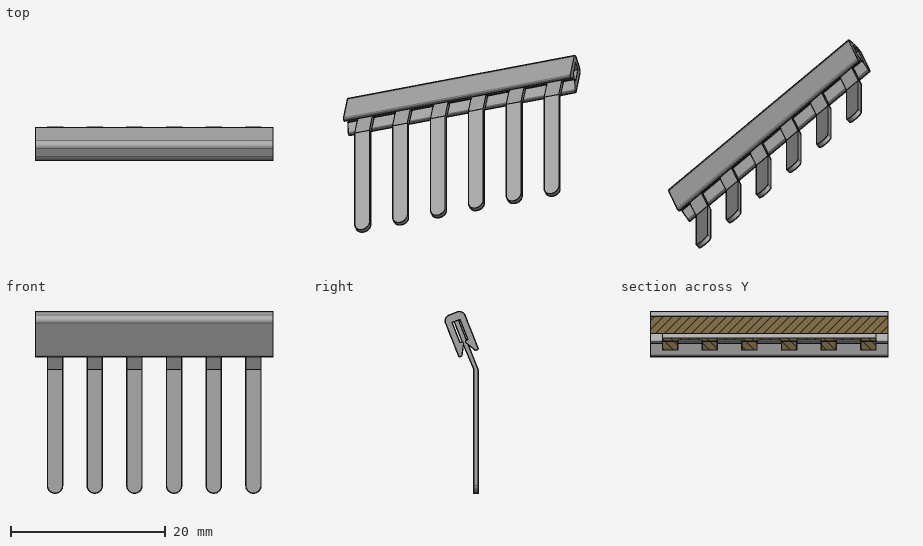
import cadquery as cq
import math

rail_length = 30.7
rail_width = 2.73
rail_depth = 5.53
corner_radius = 0.8
web_thickness = 1.05
slot_width = 1.07
mouth_width = 0.3
lip_ledge_depth = 3.85
lip_edge_height = 0.28
lip_nose_radius = 0.12
tip_width = 0.43
tip_radius = 0.15
lean_angle = 21.6
rail_top_y = -3.3
rail_top_z = 23.25

tine_count = 6
tine_pitch = 5.13
tine_width = 2.0
sheet_thickness = 0.6
bend_height = 15.9
strip_length = (tine_count - 1) * tine_pitch + tine_width

lean = math.radians(lean_angle)


def rail_point(across, depth):
    """Map a position in the leaning rail section to (y, z); across grows toward -Y."""
    y = rail_top_y - across * math.cos(lean) + depth * math.sin(lean)
    z = rail_top_z - across * math.sin(lean) - depth * math.cos(lean)
    return y, z


def extrude_section(points, length):
    """Extrude a YZ outline along X, centred on x = 0."""
    return cq.Workplane("YZ").polyline(points).close().extrude(length / 2, both=True)


def make_rail():
    half_width = rail_width / 2
    half = [
        (half_width, 0),
        (half_width, rail_depth),
        (half_width - tip_width, rail_depth),
        (mouth_width / 2, lip_ledge_depth + lip_edge_height),
        (mouth_width / 2, lip_ledge_depth),
        (slot_width / 2, lip_ledge_depth),
        (slot_width / 2, web_thickness),
    ]
    mirrored = [(-across, depth) for across, depth in reversed(half)]
    rail = extrude_section([rail_point(*p) for p in half + mirrored], rail_length)

    def round_edges(body, corners, radius):
        for across, depth in corners:
            y, z = rail_point(across, depth)
            nearest = cq.selectors.NearestToPointSelector((0, y, z))
            body = body.edges("|X").edges(nearest).fillet(radius)
        return body

    top_corners = [(side * half_width, 0) for side in (-1, 1)]
    rail = round_edges(rail, top_corners, corner_radius)
    nose_corners = [(side * mouth_width / 2, lip_ledge_depth) for side in (-1, 1)]
    rail = round_edges(rail, nose_corners, lip_nose_radius)
    tip_corners = [
        (side * across, rail_depth)
        for side in (-1, 1)
        for across in (half_width, half_width - tip_width)
    ]
    return round_edges(rail, tip_corners, tip_radius)


def make_tine(x, back_across, front_across):
    """Bent finger that reaches from its round lower end up to the rail's lip ledges."""
    front_bend_height = bend_height + sheet_thickness * math.tan(lean / 2)
    section = [
        (0, 0),
        (-sheet_thickness, 0),
        (-sheet_thickness, front_bend_height),
        rail_point(front_across, lip_ledge_depth),
        rail_point(back_across, lip_ledge_depth),
        (0, bend_height),
    ]
    tine = extrude_section(section, tine_width)
    radius = tine_width / 2
    outline = (
        cq.Workplane("XZ")
        .moveTo(-radius, rail_top_z)
        .lineTo(-radius, radius)
        .threePointArc((0, 0), (radius, radius))
        .lineTo(radius, rail_top_z)
        .close()
        .extrude(rail_depth, both=True)
    )
    return tine.intersect(outline).translate((x, 0, 0))


def make_comb(rail):
    back_across = (rail_top_y * math.cos(lean)
                   + (rail_top_z - bend_height) * math.sin(lean))
    front_across = back_across + sheet_thickness
    strip = [
        rail_point(back_across, web_thickness),
        rail_point(front_across, web_thickness),
        rail_point(front_across, lip_ledge_depth),
        rail_point(back_across, lip_ledge_depth),
    ]
    comb = extrude_section(strip, strip_length)
    for index in range(tine_count):
        x = (index - (tine_count - 1) / 2) * tine_pitch
        comb = comb.union(make_tine(x, back_across, front_across))
    return comb.cut(rail)


rail = make_rail()
comb = make_comb(rail)

result = cq.Compound.makeCompound([rail.val(), comb.val()])